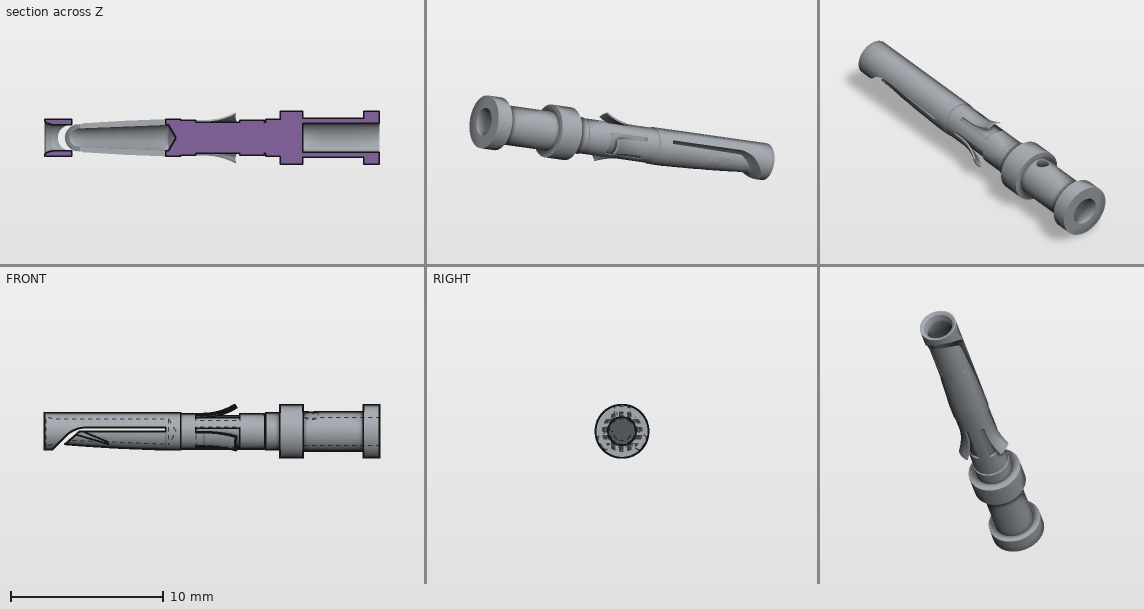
import cadquery as cq
import math

LENGTH = 22.0
BARREL_END = 8.95
CLIP_END = 14.45
CLIP_GAP = 0.07
FLANGE_START = 15.45
FLANGE_END = 16.98
RIM_START = 20.92

FLANGE_DIAMETER = 3.5
FLANGE_R = FLANGE_DIAMETER / 2
BARREL_DIAMETER = 2.45
BARREL_R = BARREL_DIAMETER / 2
CLIP_R = 1.17
CORE_R = 1.03
CRIMP_R = 1.3

BORE_R = 0.84
BORE_DEPTH = 8.15
ENTRY_R = 1.15
LEAD_R = 0.97
ENTRY_DEPTH = 0.1
LEAD_DEPTH = 0.55
DRILL_TIP = 0.48

CRIMP_BORE_R = 0.92
CRIMP_BORE_START = FLANGE_END
INSPECTION_X = 17.51
INSPECTION_Y = 0.09
INSPECTION_R = 0.42

SLOT_TOP = 0.25
SLOT_END = 7.96
RAMP_START = 0.5
RAMP_ANGLE = 45.5
RAMP_BLEND_R = 1.91
TONGUE_TIP_X = 1.35
TONGUE_TOP_X = 2.33
TONGUE_TIP_Z = -0.85
TONGUE_MID_X = 4.55
TONGUE_MID_R = 1.08
TONGUE_TIP_BORE_R = 0.57

RELIEF_DEPTH = 0.05
RELIEF_UPPER_X = 2.5
RELIEF_LOWER_Z = -0.22
RELIEF_END_X = 4.18
RELIEF_END_TOP_Z = -0.7
RELIEF_END_BOTTOM_Z = -0.84

FINGER_COUNT = 3
WINDOW_START = 9.95
WINDOW_END = 12.8
WINDOW_WIDTH = 1.5
FINGER_WIDTH = 1.01
FINGER_GAP = 0.02
BEND_START = 10.45
BEND_R = 3.85

MARGIN = 0.22


def revolve_about_x(points):
    """Turn a closed (x, radius) outline about the part axis."""
    return cq.Workplane("XZ").polyline(points).close().revolve(360, (0, 0, 0), (1, 0, 0))


def tube_blank():
    """Turned outside shape with the clip sleeve standing proud of the core."""
    steps = [
        (BARREL_END, BARREL_R),
        (CLIP_END, CLIP_R),
        (CLIP_END + CLIP_GAP, CORE_R),
        (FLANGE_START, BARREL_R),
        (FLANGE_END, FLANGE_R),
        (RIM_START, CRIMP_R),
        (LENGTH, FLANGE_R),
    ]
    outline = [(0, 0)]
    start = 0
    for end, radius in steps:
        outline += [(start, radius), (end, radius)]
        start = end
    outline.append((LENGTH, 0))
    return revolve_about_x(outline)


def mating_bore():
    return revolve_about_x([
        (0, 0),
        (0, ENTRY_R),
        (ENTRY_DEPTH, LEAD_R),
        (LEAD_DEPTH, BORE_R),
        (BORE_DEPTH, BORE_R),
        (BORE_DEPTH + DRILL_TIP, 0),
    ])


def crimp_bore():
    depth = LENGTH - CRIMP_BORE_START
    bore = cq.Workplane("YZ", origin=(CRIMP_BORE_START, 0, 0)).circle(CRIMP_BORE_R).extrude(depth)
    hole = cq.Workplane("XY").center(INSPECTION_X, INSPECTION_Y).circle(INSPECTION_R).extrude(FLANGE_R)
    return bore.union(hole)


def tongue_opening():
    """Ramp blended by an arc into the upper edge of the slot, cut right across."""
    ramp = math.radians(RAMP_ANGLE)
    ramp_foot_z = -BARREL_R
    corner_x = RAMP_START + (SLOT_TOP - ramp_foot_z) / math.tan(ramp)
    tangent = RAMP_BLEND_R * math.tan(ramp / 2)
    arc_start = (corner_x - tangent * math.cos(ramp), SLOT_TOP - tangent * math.sin(ramp))
    arc_end_x = corner_x + tangent
    arc_mid = (
        arc_end_x - RAMP_BLEND_R * math.sin(ramp / 2),
        SLOT_TOP - RAMP_BLEND_R * (1 - math.cos(ramp / 2)),
    )
    foot = (RAMP_START - MARGIN / math.tan(ramp), ramp_foot_z - MARGIN)
    return (
        cq.Workplane("XZ")
        .moveTo(*foot)
        .lineTo(*arc_start)
        .threePointArc(arc_mid, (arc_end_x, SLOT_TOP))
        .lineTo(SLOT_END, SLOT_TOP)
        .lineTo(SLOT_END, foot[1])
        .close()
        .extrude(FLANGE_R, both=True)
    )


def tongue_shell(root_x, inset=0.0):
    """Full shell of revolution whose inner and outer faces close in towards the tip."""
    return (
        cq.Workplane("XZ")
        .moveTo(TONGUE_TIP_X, TONGUE_TIP_BORE_R)
        .lineTo(TONGUE_TIP_X, -TONGUE_TIP_Z - inset)
        .threePointArc((TONGUE_MID_X, TONGUE_MID_R - inset), (SLOT_END, BARREL_R - inset))
        .lineTo(root_x, BARREL_R - inset)
        .lineTo(root_x, BORE_R)
        .lineTo(SLOT_END, BORE_R)
        .close()
        .revolve(360, (0, 0, 0), (1, 0, 0))
    )


def cross_prism(points):
    """Prism with an (x, z) outline, running right across the part along Y."""
    return cq.Workplane("XZ").polyline(points).close().extrude(FLANGE_R, both=True)


def contact_tongue():
    """Lower half shell with a slanted free end and relieved flanks."""
    root_x = (SLOT_END + BORE_DEPTH) / 2
    side = cross_prism([
        (TONGUE_TIP_X, TONGUE_TIP_Z),
        (TONGUE_TOP_X, 0),
        (root_x, 0),
        (root_x, -FLANGE_R),
        (TONGUE_TIP_X, -FLANGE_R),
    ])
    tip_slope = (TONGUE_TOP_X - TONGUE_TIP_X) / -TONGUE_TIP_Z
    relief = cross_prism([
        (TONGUE_TOP_X, 0),
        (RELIEF_UPPER_X, 0),
        (RELIEF_END_X, RELIEF_END_TOP_Z),
        (RELIEF_END_X, RELIEF_END_BOTTOM_Z),
        (TONGUE_TOP_X + RELIEF_LOWER_Z * tip_slope, RELIEF_LOWER_Z),
    ])
    relieved = tongue_shell(root_x).cut(relief).union(tongue_shell(root_x, RELIEF_DEPTH))
    return relieved.intersect(side)


def finger_section(x):
    """Curved strip section of the sleeve wall at x, just clear of the core."""
    half = FINGER_WIDTH / 2
    outer_z = math.sqrt(CLIP_R**2 - half**2)
    inner_r = CORE_R + FINGER_GAP
    inner_z = math.sqrt(inner_r**2 - half**2)
    return (
        cq.Workplane("YZ", origin=(x, 0, 0))
        .moveTo(-half, inner_z)
        .threePointArc((0, inner_r), (half, inner_z))
        .lineTo(half, outer_z)
        .threePointArc((0, CLIP_R), (-half, outer_z))
        .close()
    )


def finger_window():
    """Window through the sleeve wall, cut around the straight root of its finger."""
    length = WINDOW_END - WINDOW_START
    block = (
        cq.Workplane("XY", origin=(WINDOW_START + length / 2, 0, 0))
        .rect(length, WINDOW_WIDTH)
        .extrude(FLANGE_R)
    )
    core = cq.Workplane("YZ").circle(CORE_R).extrude(LENGTH)
    root_start = WINDOW_START - MARGIN
    root = finger_section(root_start).extrude(BEND_START - root_start)
    return block.cut(core).cut(root)


def finger_bend():
    """Outward bend that continues the root and ends level with the flange."""
    bend_angle = math.degrees(math.acos(1 - (FLANGE_R - CLIP_R) / BEND_R))
    bend_z = CLIP_R + BEND_R
    return finger_section(BEND_START).revolve(bend_angle, (0.22, bend_z), (0, bend_z))


result = tube_blank().cut(mating_bore()).cut(crimp_bore())
result = result.cut(tongue_opening()).union(contact_tongue())

for index in range(FINGER_COUNT):
    turn = 360 / FINGER_COUNT * index
    window = finger_window().rotate((0, 0, 0), (1, 0, 0), turn)
    bend = finger_bend().rotate((0, 0, 0), (1, 0, 0), turn)
    result = result.cut(window).union(bend)